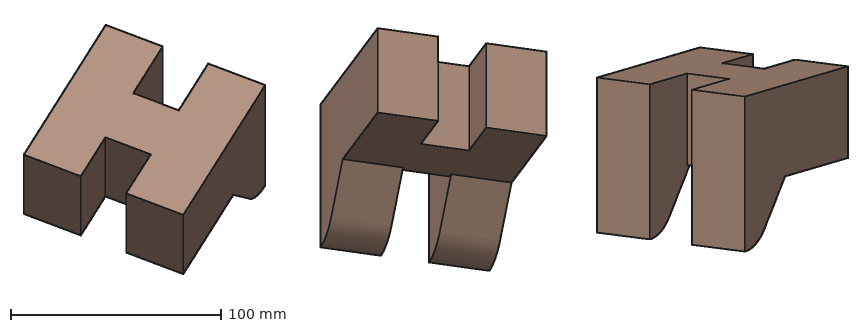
import cadquery as cq
import math

width = 84.45
length = 88.9
body_height = 44.45

arm_width = 30.2
front_slot_depth = 26.7
back_slot_depth = 32.0
slot_width = width - 2 * arm_width

leg_drop = 30.8
leg_root_length = 34.7
tip_radius = 21.3
total_height = body_height + leg_drop


def side_profile():
    """Side outline in YZ: sloped leg ending in an arc tangent to the slope."""
    root_y = length - leg_root_length
    center_y = length
    center_z = tip_radius
    root_distance = math.hypot(center_y - root_y, leg_drop - center_z)
    root_direction = math.atan2(leg_drop - center_z, root_y - center_y)
    tangent_direction = root_direction + math.acos(tip_radius / root_distance)
    bottom_direction = 1.5 * math.pi
    middle_direction = (tangent_direction + bottom_direction) / 2

    def on_tip(direction):
        return (
            center_y + tip_radius * math.cos(direction),
            center_z + tip_radius * math.sin(direction),
        )

    return (
        cq.Workplane("YZ")
        .moveTo(0, total_height)
        .lineTo(0, leg_drop)
        .lineTo(root_y, leg_drop)
        .lineTo(*on_tip(tangent_direction))
        .threePointArc(on_tip(middle_direction), (length, 0))
        .lineTo(length, total_height)
        .close()
    )


def gap_cutter(start_y, depth, height):
    """Box between the arms, rising from the level of the leg tips."""
    cutter = cq.Workplane("XY").box(slot_width, depth, height, centered=False)
    return cutter.translate((arm_width, start_y, 0))


result = side_profile().extrude(width)

result = result.cut(gap_cutter(0, front_slot_depth, total_height))
result = result.cut(gap_cutter(length - back_slot_depth, back_slot_depth, total_height))

result = result.cut(gap_cutter(0, length, leg_drop))